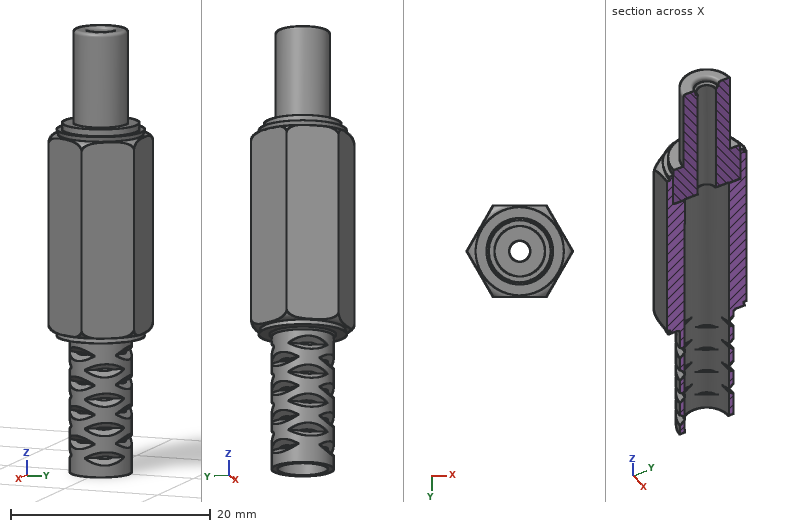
import cadquery as cq

TOTAL_HEIGHT = 45.2
HEX_BOTTOM = 14.4
HEX_TOP = 34.5
DISC_THICKNESS = 0.5
COLLAR_TOP = 35.65

BARREL_RADIUS = 2.75
BORE_RADIUS = 1.05
BORE_MOUTH_RADIUS = 1.3
MOUTH_DEPTH = 0.55
TIP_FILLET = 0.35
COLLAR_RADIUS = 3.9
COLLAR_LENGTH = 4.5
SEAT_BOTTOM = COLLAR_TOP - COLLAR_LENGTH

HEX_SIDES = 6
HEX_ACROSS_CORNERS = 10.65
HEX_END_ROUND = 0.9
DISC_RADIUS = 4.45
DISC_NECK_RADIUS = 4.3
SLEEVE_RADIUS = 3.1
SLEEVE_BORE_RADIUS = 2.55
SLEEVE_ROOT_CHAMFER = 0.23

SLOT_ROWS = 8
SLOT_FIRST_HEIGHT = 1.9
SLOT_LAST_HEIGHT = 12.4
SLOT_ROW_PITCH = (SLOT_LAST_HEIGHT - SLOT_FIRST_HEIGHT) / (SLOT_ROWS - 1)
SLOTS_PER_ROW = 3
SLOT_APEX_RADIUS = 2.4
SLOT_HALF_HEIGHT = 0.7
SLOT_CUTTER_RADIUS = 3.6
FIRST_ROW_ANGLE = -90
HALF_TURN = 180
FULL_TURN = 360


def cylinder(radius, bottom, top):
    """Upright cylinder on the part's axis between two heights."""
    return cq.Workplane("XY").workplane(offset=bottom).circle(radius).extrude(top - bottom)


def hex_grip():
    """Hexagonal bar whose corners are rounded off by a filleted round envelope."""
    height = HEX_TOP - HEX_BOTTOM
    bar = (
        cq.Workplane("XY")
        .workplane(offset=HEX_BOTTOM)
        .polygon(HEX_SIDES, HEX_ACROSS_CORNERS)
        .extrude(height)
    )
    envelope = cylinder(HEX_ACROSS_CORNERS / 2, HEX_BOTTOM, HEX_TOP).edges().fillet(HEX_END_ROUND)
    return bar.intersect(envelope)


def end_disc(face_height, outward):
    """Flared disc on one end of the grip; outward is +1 for the upper end and -1 for the lower."""
    outer_height = face_height + outward * DISC_THICKNESS
    return (
        cq.Workplane("XZ")
        .moveTo(0, face_height)
        .lineTo(DISC_NECK_RADIUS, face_height)
        .lineTo(DISC_RADIUS, outer_height)
        .lineTo(0, outer_height)
        .close()
        .revolve(FULL_TURN, (0, 0), (0, 1))
    )


def sleeve():
    """Strain-relief tube with a small conical root under the lower disc."""
    root_top = HEX_BOTTOM - DISC_THICKNESS
    root_radius = SLEEVE_RADIUS + SLEEVE_ROOT_CHAMFER
    return (
        cq.Workplane("XZ")
        .lineTo(SLEEVE_RADIUS, 0)
        .lineTo(SLEEVE_RADIUS, root_top - SLEEVE_ROOT_CHAMFER)
        .lineTo(root_radius, root_top)
        .lineTo(root_radius, HEX_BOTTOM)
        .lineTo(0, HEX_BOTTOM)
        .close()
        .revolve(FULL_TURN, (0, 0), (0, 1))
    )


def slot(angle, height):
    """V cutter across the sleeve, apex toward the axis."""
    reach = SLOT_CUTTER_RADIUS - SLOT_APEX_RADIUS
    half_height = SLOT_HALF_HEIGHT * reach / (SLEEVE_RADIUS - SLOT_APEX_RADIUS)
    return (
        cq.Workplane("XZ")
        .moveTo(SLOT_APEX_RADIUS, height)
        .lineTo(SLOT_CUTTER_RADIUS, height + half_height)
        .lineTo(SLOT_CUTTER_RADIUS, height - half_height)
        .close()
        .extrude(SLEEVE_RADIUS, both=True)
        .rotate((0, 0, 0), (0, 0, 1), angle)
    )


def make_cover():
    """Grip, end discs and slotted sleeve, hollowed to seat the plug's collar and pass the cable."""
    cover = hex_grip().union(end_disc(HEX_TOP, 1)).union(end_disc(HEX_BOTTOM, -1)).union(sleeve())
    disc_top = HEX_TOP + DISC_THICKNESS
    cover = cover.cut(cylinder(SLEEVE_BORE_RADIUS, 0, SEAT_BOTTOM))
    cover = cover.cut(cylinder(COLLAR_RADIUS, SEAT_BOTTOM, disc_top))
    for row in range(SLOT_ROWS):
        height = SLOT_FIRST_HEIGHT + row * SLOT_ROW_PITCH
        row_angle = FIRST_ROW_ANGLE + HALF_TURN * (row % 2)
        for step in range(SLOTS_PER_ROW):
            cover = cover.cut(slot(row_angle + step * FULL_TURN / SLOTS_PER_ROW, height))
    return cover


def make_plug():
    """Barrel on its collar, with a through bore that opens out at the rounded tip."""
    plug = cylinder(COLLAR_RADIUS, SEAT_BOTTOM, COLLAR_TOP).union(
        cylinder(BARREL_RADIUS, COLLAR_TOP, TOTAL_HEIGHT)
    )
    mouth_bottom = TOTAL_HEIGHT - MOUTH_DEPTH
    bore = cylinder(BORE_RADIUS, SEAT_BOTTOM, TOTAL_HEIGHT)
    mouth = cylinder(BORE_MOUTH_RADIUS, mouth_bottom, TOTAL_HEIGHT)
    countersink_depth = BORE_MOUTH_RADIUS - BORE_RADIUS
    countersink = (
        cq.Workplane("XY")
        .workplane(offset=mouth_bottom - countersink_depth)
        .circle(BORE_RADIUS)
        .workplane(offset=countersink_depth)
        .circle(BORE_MOUTH_RADIUS)
        .loft()
    )
    plug = plug.cut(mouth).cut(countersink).cut(bore)
    return plug.faces(">Z").edges().fillet(TIP_FILLET)


cover = make_cover()
plug = make_plug()
result = cq.Compound.makeCompound([cover.val(), plug.val()])